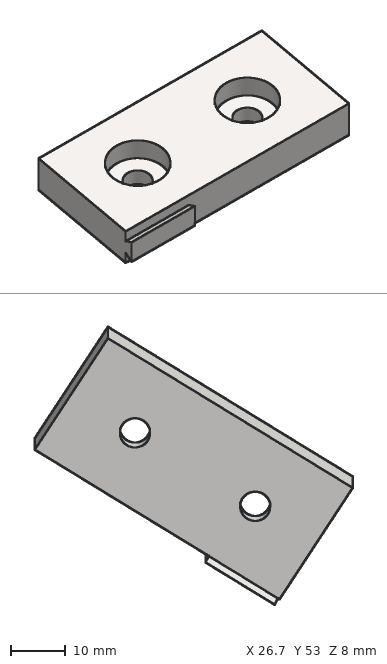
import cadquery as cq

total_width = 26.7
length = 53
height = 8.0
tongue_depth = 1.7
plate_width = total_width - tongue_depth

tongue_length = 15.0
tongue_tip_height = 5.0
tongue_root_height = 3.0

hole_diameter = 5.5
counterbore_diameter = 12.0
counterbore_depth = 4.5
first_hole_y = 13.2
hole_spacing = 26.0


def make_plate():
    return cq.Workplane("XY").box(plate_width, length, height, centered=False)


def make_tongue():
    """Dovetail that widens outward from the plate's side face."""
    middle_z = height / 2
    outline = [
        (plate_width, middle_z - tongue_root_height / 2),
        (total_width, middle_z - tongue_tip_height / 2),
        (total_width, middle_z + tongue_tip_height / 2),
        (plate_width, middle_z + tongue_root_height / 2),
    ]
    return cq.Workplane("XZ").polyline(outline).close().extrude(-tongue_length)


def cut_screw_holes(body):
    hole_centers = [
        (plate_width / 2, first_hole_y),
        (plate_width / 2, first_hole_y + hole_spacing),
    ]
    return (
        body.faces(">Z")
        .workplane(origin=(0, 0, height))
        .pushPoints(hole_centers)
        .cboreHole(hole_diameter, counterbore_diameter, counterbore_depth)
    )


result = cut_screw_holes(make_plate().union(make_tongue()))